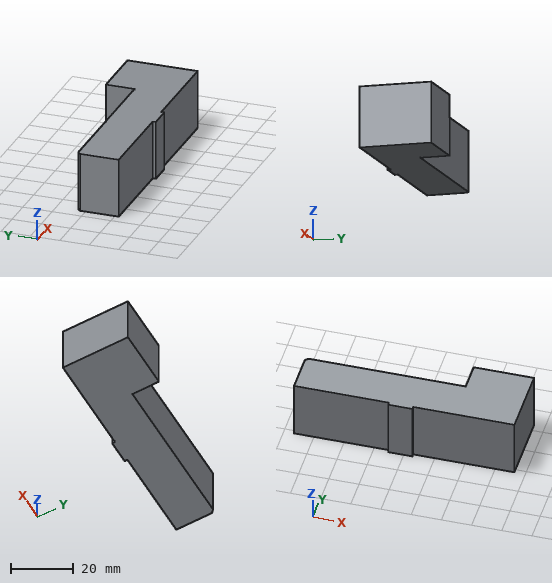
import cadquery as cq

length = 73.0
height = 20.0
total_depth = 25.0
head_length = 20.0
head_step = 9.8
pad_projection = 1.0
pad_width = 8.0
pad_start = 31.45
chamfer = 1.0

head_start = length - head_length
head_back = total_depth - pad_projection
arm_back = head_back - head_step

body = (
    cq.Workplane("XY")
    .moveTo(0, 0)
    .lineTo(length, 0)
    .lineTo(length, head_back)
    .lineTo(head_start, head_back)
    .lineTo(head_start, arm_back)
    .lineTo(chamfer, arm_back)
    .lineTo(0, arm_back - chamfer)
    .close()
    .extrude(height)
)

pad = (
    cq.Workplane("XY")
    .box(pad_width, pad_projection, height, centered=False)
    .translate((pad_start, -pad_projection, 0))
)

result = body.union(pad)